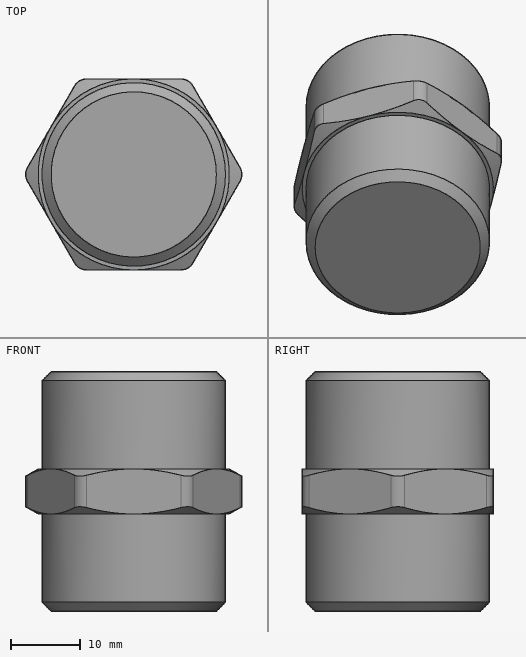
import cadquery as cq
import math

body_length = 34.5
body_diameter = 26.4
end_chamfer = 1.3

hex_height = 6.5
hex_across_flats = 27.5
hex_corner_radius = 2.0
hex_bevel_angle = 30.0

hex_sharp_diameter = hex_across_flats / math.cos(math.radians(30))


def make_body():
    """Solid cylinder centred on the origin, chamfered at both ends."""
    cylinder = cq.Workplane("XY").cylinder(body_length, body_diameter / 2)
    return cylinder.faces("|Z").chamfer(end_chamfer)


def make_bevel_envelope():
    """Revolved double cone that trims the collar corners above and below."""
    face_radius = hex_across_flats / 2
    outer_radius = hex_sharp_diameter / 2
    half_height = hex_height / 2
    bevel_drop = (outer_radius - face_radius) * math.tan(math.radians(hex_bevel_angle))
    shoulder = half_height - bevel_drop
    profile = cq.Workplane("XZ").polyline([
        (0, -half_height),
        (face_radius, -half_height),
        (outer_radius, -shoulder),
        (outer_radius, shoulder),
        (face_radius, half_height),
        (0, half_height),
    ]).close()
    return profile.revolve(360, (0, 0), (0, 1))


def make_collar():
    """Hexagon with corners on the X axis, rounded edges and conical bevels."""
    hexagon = (
        cq.Workplane("XY")
        .polygon(6, hex_sharp_diameter)
        .extrude(hex_height / 2, both=True)
        .edges("|Z")
        .fillet(hex_corner_radius)
    )
    return hexagon.intersect(make_bevel_envelope())


result = make_body().union(make_collar())